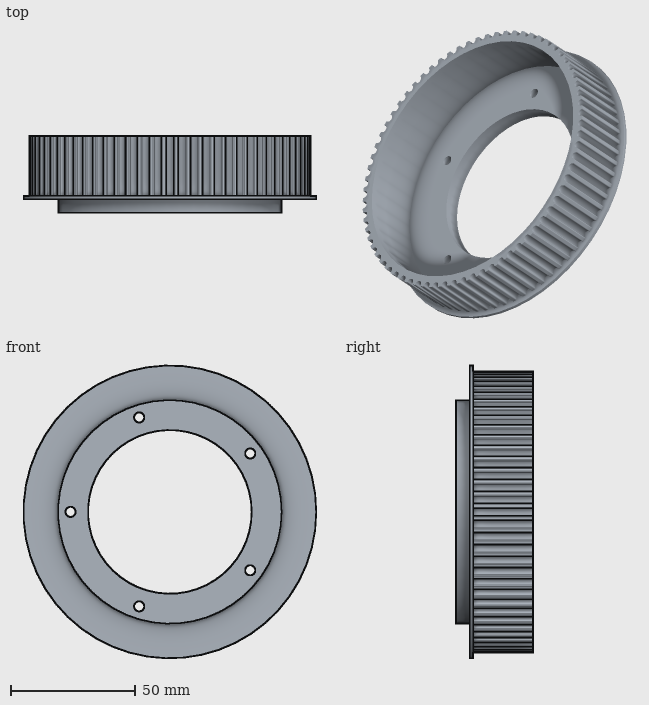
import cadquery as cq
import math

tooth_count = 72
belt_pitch = 5.0
pitch_line_offset = 0.5715
tip_radius = tooth_count * belt_pitch / (2 * math.pi) - pitch_line_offset
groove_depth = 2.06
groove_radius = 1.49
groove_corner_radius = 0.4

overall_length = 31.05
flange_thickness = 1.4
hub_length = 5.5
rim_length = overall_length - flange_thickness - hub_length

flange_diameter = 118.0
hub_diameter = 90.0
bore_diameter = 65.8
cavity_diameter = 104.0

bolt_count = 5
bolt_hole_diameter = 4.0
bolt_circle_radius = 40.0
first_bolt_angle = 180.0

flange_back_y = 0.0
flange_front_y = flange_back_y - flange_thickness
hub_front_y = flange_front_y - hub_length
rim_back_y = flange_back_y + rim_length


def plane_at(y):
    """Work plane at position y whose local axes are X and Z; its normal is -Y."""
    return cq.Workplane("XZ", origin=(0, y, 0))


def disc(diameter, back_y, front_y):
    """Solid disc on the pulley axis between two Y positions."""
    return plane_at(back_y).circle(diameter / 2).extrude(back_y - front_y)


def polar(radius, angle):
    """Point at the given radius and angle (radians)."""
    return (radius * math.cos(angle), radius * math.sin(angle))


def rim():
    """Toothed rim: round-bottomed grooves whose mouths are rounded into the tips."""
    groove_center = tip_radius - groove_depth + groove_radius
    corner_center = tip_radius - groove_corner_radius
    center_distance = groove_radius + groove_corner_radius

    corner_angle = math.acos(
        (groove_center**2 + corner_center**2 - center_distance**2)
        / (2 * groove_center * corner_center)
    )
    corner_x, corner_z = polar(corner_center, corner_angle)
    share = groove_radius / center_distance
    tangent_x = groove_center + (corner_x - groove_center) * share
    tangent_z = corner_z * share
    tangent_radius = math.hypot(tangent_x, tangent_z)
    tangent_angle = math.atan2(tangent_z, tangent_x)

    start_direction = math.atan2(tangent_z - corner_z, tangent_x - corner_x)
    middle_direction = (start_direction + corner_angle) / 2
    middle_x = corner_x + groove_corner_radius * math.cos(middle_direction)
    middle_z = corner_z + groove_corner_radius * math.sin(middle_direction)
    middle_radius = math.hypot(middle_x, middle_z)
    middle_angle = math.atan2(middle_z, middle_x)

    step = 2 * math.pi / tooth_count
    profile = plane_at(rim_back_y).moveTo(*polar(tip_radius, -corner_angle))
    for index in range(tooth_count):
        axis = index * step
        profile = (
            profile.threePointArc(
                polar(middle_radius, axis - middle_angle),
                polar(tangent_radius, axis - tangent_angle),
            )
            .threePointArc(
                polar(tip_radius - groove_depth, axis),
                polar(tangent_radius, axis + tangent_angle),
            )
            .threePointArc(
                polar(middle_radius, axis + middle_angle),
                polar(tip_radius, axis + corner_angle),
            )
            .threePointArc(
                polar(tip_radius, axis + step / 2),
                polar(tip_radius, axis + step - corner_angle),
            )
        )
    return profile.close().extrude(rim_length)


def bolt_holes():
    """Through-hole cutters spaced evenly around the bolt circle."""
    return (
        plane_at(rim_back_y)
        .polarArray(bolt_circle_radius, first_bolt_angle, 360, bolt_count)
        .circle(bolt_hole_diameter / 2)
        .extrude(overall_length)
    )


flange = disc(flange_diameter, flange_back_y, flange_front_y)
hub = disc(hub_diameter, flange_front_y, hub_front_y)
bore = disc(bore_diameter, rim_back_y, hub_front_y)
cavity = disc(cavity_diameter, rim_back_y, flange_back_y)

result = rim().union(flange).union(hub).cut(cavity).cut(bore).cut(bolt_holes())